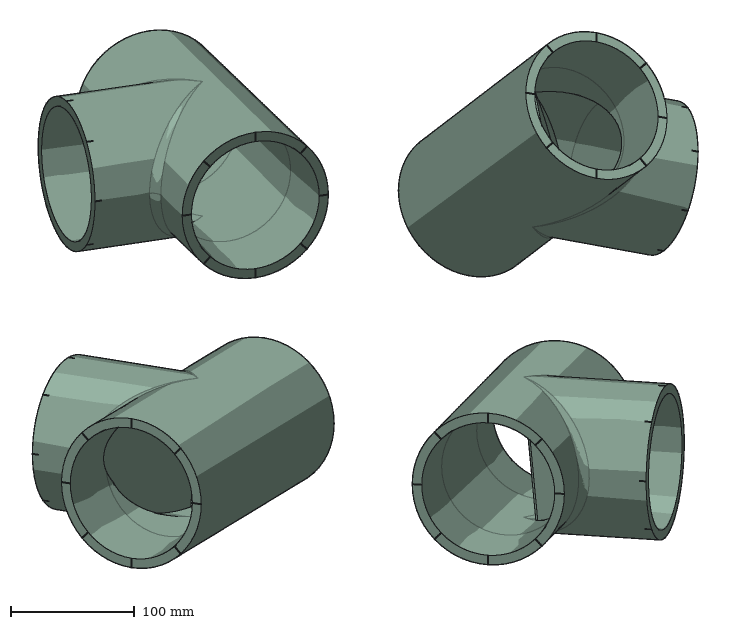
import cadquery as cq


outer_diameter = 127.0
run_length = 236.0
crotch_fillet = 7.0

bore_diameter = 107.8
mouth_diameter = 110.9
mouth_depth = 59.8

mark_count = 8
mark_height = 0.2
mark_width = 0.7
branch_mark_length = 5.5

wall_thickness = 2.4
wall_offset = 10.9
wall_lean = 10.5
wall_swing = 10

outer_radius = outer_diameter / 2
bore_radius = bore_diameter / 2
mouth_radius = mouth_diameter / 2
reach = run_length / 2
wall_size = 2 * outer_diameter

RUN_LEFT = (0, -90)
RUN_RIGHT = (0, 90)
BRANCH = (90, 0)


def lay(mark, direction):
    """Turn a mark from the +Z arm to the arm with the given direction."""
    turn_x, turn_y = direction
    origin = (0, 0, 0)
    return mark.rotate(origin, (1, 0, 0), turn_x).rotate(origin, (0, 1, 0), turn_y)


def make_outside():
    """Solid run and branch with the crotch rounded."""
    run = cq.Workplane("YZ").circle(outer_radius).extrude(reach, both=True)
    branch = cq.Workplane("XZ").circle(outer_radius).extrude(reach)
    seam_zone = cq.selectors.BoxSelector(
        (-outer_radius, -outer_radius, -outer_radius),
        (outer_radius, 0, outer_radius),
    )
    return run.union(branch).edges(seam_zone).fillet(crotch_fillet)


def make_bores():
    """Run and branch bores, each widening from the plain middle to its mouths."""
    step = reach - mouth_depth
    run_profile = [
        (-reach, 0),
        (-reach, mouth_radius),
        (-step, bore_radius),
        (step, bore_radius),
        (reach, mouth_radius),
        (reach, 0),
    ]
    run = cq.Workplane("XY").polyline(run_profile).close().revolve(360, (0, 0), (1, 0))
    branch_profile = [
        (0, 0),
        (bore_radius, 0),
        (bore_radius, -step),
        (mouth_radius, -reach),
        (0, -reach),
    ]
    branch = cq.Workplane("XY").polyline(branch_profile).close().revolve(360, (0, 0), (0, 1))
    return run.union(branch)


def make_junction_wall():
    """Leaning plate across the diagonal between the branch and the +X arm."""
    plate = cq.Workplane("XY").box(wall_size, wall_thickness, wall_size, centered=(False, True, True))
    plate = plate.rotate((0, 0, 0), (0, 0, 1), wall_swing)
    plate = plate.rotate((0, 0, 0), (1, 0, 0), -wall_lean)
    return plate.translate((0, -wall_offset, 0)).rotate((0, 0, 0), (0, 0, 1), -45)


def ring_of_marks(mark):
    """Repeat one mark around the arm axis."""
    angles = [360 / mark_count * index for index in range(mark_count)]
    return [mark.rotate((0, 0, 0), (0, 0, 1), angle) for angle in angles]


def end_face_mark():
    """Radial rib spanning the end face of an arm, half sunk into it."""
    rib = cq.Workplane("XY").box(
        outer_radius - mouth_radius, mark_width, 2 * mark_height, centered=(False, True, True)
    )
    return rib.translate((mouth_radius, 0, reach))


def outer_face_mark():
    """Lengthwise rib on the outside of an arm, ending at its mouth, half sunk into it."""
    rib = cq.Workplane("XY").box(
        2 * mark_height, mark_width, branch_mark_length, centered=(True, True, False)
    )
    return rib.translate((outer_radius, 0, reach - branch_mark_length))


body = make_outside().cut(make_bores().cut(make_junction_wall()))

for direction in (RUN_LEFT, RUN_RIGHT):
    for mark in ring_of_marks(end_face_mark()):
        body = body.union(lay(mark, direction))

for mark in ring_of_marks(outer_face_mark()):
    body = body.union(lay(mark, BRANCH))

result = body